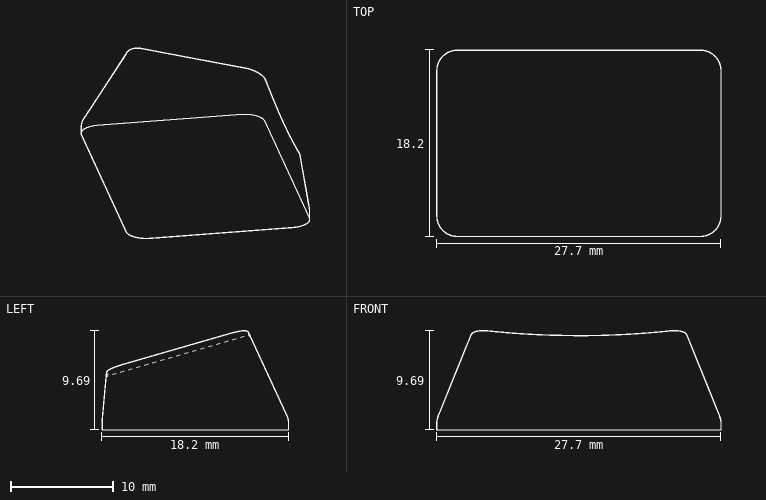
import cadquery as cq
import math

length = 27.7
width = 18.16
skirt_height = 0.7
shoulder_top = 1.4
shoulder_middle = (skirt_height + shoulder_top) / 2
shoulder_cut = 0.25
base_corner = 2.02

top_half_length = 10.35
top_front_y = -4.87
top_back_y = 8.6
top_corner = 1.83
top_slope_angle = 16.2
rim_height = 7.92
trim_allowance = 0.28

dish_radius = 77.53
rim_radius = 0.33

top_middle_y = (top_front_y + top_back_y) / 2
slope = math.radians(top_slope_angle)
slope_length = (top_back_y - top_front_y) / math.cos(slope)


def sloping_plane(height):
    """Plane parallel to the rim, its origin at the given middle height."""
    return cq.Plane(
        origin=(0, top_middle_y, height),
        xDir=(1, 0, 0),
        normal=(0, math.sin(slope), math.cos(slope)),
    )


def taper_outline(height, inset_share=1.0):
    """Level outline of the taper, found by following its slanting corner edges upward."""
    half_length = length / 2
    half_width = width / 2
    rise = height - shoulder_middle
    middle_z = rim_height + trim_allowance
    points = []
    for side, base_y, top_y in (
        (-1, -half_width, top_front_y),
        (1, -half_width, top_front_y),
        (1, half_width, top_back_y),
        (-1, half_width, top_back_y),
    ):
        top_z = middle_z - (top_y - top_middle_y) * math.tan(slope)
        travel = inset_share * rise / (top_z - shoulder_middle)
        x = half_length + (top_half_length - half_length) * travel
        y = base_y + (top_y - base_y) * travel
        points.append((side * x, y))
    points.append(points[0])
    return cq.Sketch().polygon(points).vertices().fillet(base_corner)


def at_height(outline, height):
    """Lift a level outline to the given height."""
    return outline.moved(cq.Location(cq.Vector(0, 0, height)))


def make_body():
    """Skirt, rounded shoulder and a taper up to the sloping top."""
    base = cq.Sketch().rect(length, width).vertices().fillet(base_corner)
    skirt = cq.Workplane("XY").placeSketch(base).extrude(skirt_height)

    shoulder_outline = taper_outline(shoulder_top)
    shoulder_sections = (
        at_height(base, skirt_height),
        at_height(taper_outline(shoulder_top, shoulder_cut), shoulder_middle),
        at_height(shoulder_outline, shoulder_top),
    )
    shoulder = cq.Workplane("XY").placeSketch(*shoulder_sections).loft()

    top_plane = sloping_plane(rim_height + trim_allowance)
    top = cq.Sketch().rect(2 * top_half_length, slope_length).vertices().fillet(top_corner)
    taper_sections = (at_height(shoulder_outline, shoulder_top), top.moved(top_plane.location))
    taper = cq.Workplane("XY").placeSketch(*taper_sections).loft(ruled=True)
    return skirt.union(shoulder).union(taper)


def make_dish():
    """Large cylinder along the slope, meeting the rim at both long ends."""
    rim_sag = dish_radius - math.sqrt(dish_radius**2 - top_half_length**2)
    axis_height = dish_radius - rim_sag
    section = sloping_plane(rim_height).rotated((90, 0, 0))
    cutter = cq.Workplane(section).center(0, axis_height).circle(dish_radius)
    return cutter.extrude(width, both=True)


def round_rim(body):
    """Soften the edge between the dished top and the walls."""
    dish_middle = (0, top_middle_y, rim_height)
    top_face = body.faces(cq.selectors.NearestToPointSelector(dish_middle))
    return top_face.edges().fillet(rim_radius)


dished = make_body().cut(make_dish())
result = round_rim(dished)